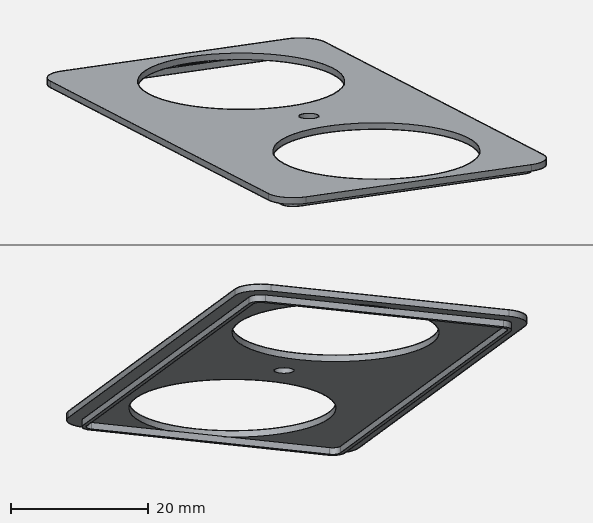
import cadquery as cq

length = 76.0
width = 45.0
total_height = 2.0
plate_thickness = 1.0
corner_radius = 4.0

rim_inset = 2.2
rim_wall = 0.6
rim_height = total_height - plate_thickness

window_diameter = 30.0
window_offset = 21.05
pin_hole_diameter = 2.9
hole_line_y = 2.0


def rounded_slab(inset, base_z, height):
    """Rounded rectangle set in from the plate outline by the given distance."""
    return (
        cq.Workplane("XY", origin=(0, 0, base_z))
        .rect(length - 2 * inset, width - 2 * inset)
        .extrude(height)
        .edges("|Z")
        .fillet(corner_radius - inset)
    )


def through_plate(diameter, centres):
    """Round cutters that pass through the plate and leave the rim whole."""
    return (
        cq.Workplane("XY", origin=(0, 0, rim_height))
        .pushPoints(centres)
        .circle(diameter / 2)
        .extrude(plate_thickness)
    )


plate = rounded_slab(0, rim_height, plate_thickness)
windows = through_plate(window_diameter, [(side * window_offset, hole_line_y) for side in (-1, 1)])
pin_hole = through_plate(pin_hole_diameter, [(0, hole_line_y)])

rim = rounded_slab(rim_inset, 0, rim_height).cut(rounded_slab(rim_inset + rim_wall, 0, rim_height))

result = plate.cut(windows).cut(pin_hole).union(rim)